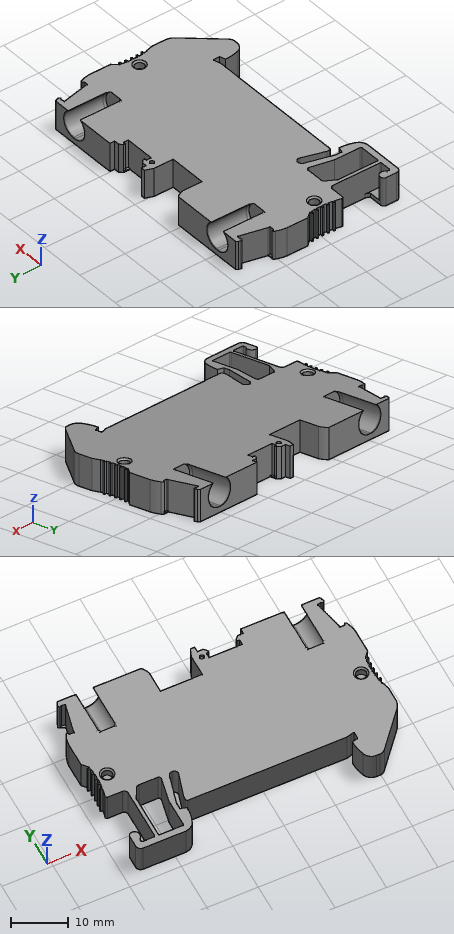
import cadquery as cq
import math

HALF_LENGTH = 27.9
HEIGHT = 35.2
THICKNESS = 6.2
SHELF_Y = 12.65
RAIL_Y = 5.85
LEDGE = 0.2

SHOULDER_Y = 28.3
SHOULDER_X = 25.85
SHOULDER_END_X = 26.95
SHOULDER_STEP = 0.4
GRIP_TOP = (26.9, 20.0)
GRIP_MIDDLE = (26.7, 17.2)
GRIP_BOTTOM = (27.25, 13.0)
GRIP_RADIUS = 16.75
TOOTH_X = 27.2
TOOTH_LENGTH = 0.65
TOOTH_WIDTH = 0.35
TOOTH_PITCH = 1.2
TOOTH_COUNT = 5

GAP_LEFT, GAP_RIGHT, GAP_FLOOR = -8.35, -0.2, 29.3
GAP_BEND_Y = 33.6
GAP_LEFT_FLARE = 0.85
GAP_RIGHT_FLARE = 0.6
MARKER_X = 5.7
MARKER_HALF_WIDTH = 2.75
MARKER_FLOOR = 32.1
MARKER_BEND_Y = 33.55
MARKER_STEP_Y = 34.15
MARKER_STEP_HALF_WIDTH = 3.35
MARKER_TOP_HALF_WIDTH = 4.45
UNDERCUT_DEPTH = 0.5
UNDERCUT_HEIGHT = 1.05

CHANNEL_X = 20.25
CHANNEL_END_Y = 26.0
CHANNEL_RADIUS = 2.7
CHANNEL_FLAT = 0.5
CHANNEL_OPENING = 3.3
CHANNEL_FLARE = 0.15
CHANNEL_TIP = 0.55
CHANNEL_TAPER = 15.0

PIN_X, PIN_Y = 24.7, 17.25
PIN_MOUTH_RADIUS, PIN_MOUTH_DEPTH = 1.35, 0.35
PIN_RADIUS, PIN_DEPTH = 1.0, 1.7
DOT_X, DOT_Y, DOT_RADIUS, DOT_DEPTH = 1.4, 32.75, 0.45, 0.55

FOOT_LEFT = -27.25
STEM_LEFT, STEM_RIGHT = -23.25, -22.55
FOOT_FLOOR = 1.35
WEB_THICKNESS = 0.9
WEB_LEFT, WEB_RIGHT, WEB_BOTTOM = -26.45, -22.9, 0.55
TAB_TOP = 3.95
WINDOW_FILLET = 0.2
SLOT_TOP = (-14.4, SHELF_Y)
LEG_INNER_X = -17.7
LEG_OUTER_X = -16.7


def plate(outline, height=THICKNESS):
    """Extrude a closed outline upward from the back face."""
    return outline.close().extrude(height)


def both_ends(solid):
    """Join a solid with its mirror image about the middle plane."""
    return solid.union(solid.mirror("YZ"))


def start(x, y):
    """Begin an outline on the back face."""
    return cq.Workplane("XY").moveTo(x, y)


def upper_housing():
    """Symmetric housing with end hooks, shoulders and ribbed grips."""
    half = plate(
        start(0, SHELF_Y)
        .lineTo(0, HEIGHT)
        .lineTo(25.45, HEIGHT)
        .threePointArc((25.6, 35.1), (25.7, 34.8))
        .lineTo(25.9, 34.45)
        .threePointArc((25.85, 34.15), (25.6, 34.0))
        .lineTo(25.3, 34.15)
        .lineTo(24.5, 34.05)
        .lineTo(24.65, 33.5)
        .lineTo(SHOULDER_X, SHOULDER_Y)
        .lineTo(SHOULDER_X, SHOULDER_Y - SHOULDER_STEP)
        .lineTo(26.8, SHOULDER_Y - SHOULDER_STEP)
        .lineTo(SHOULDER_END_X, SHOULDER_Y)
        .threePointArc((27.3, 28.2), (27.4, 27.9))
        .threePointArc((27.75, 26.9), (HALF_LENGTH, 25.8))
        .lineTo(HALF_LENGTH, 21.15)
        .lineTo(*GRIP_TOP)
        .threePointArc(GRIP_MIDDLE, GRIP_BOTTOM)
        .threePointArc((27.1, 12.8), (26.9, SHELF_Y))
    )
    hook_ledge = plate(start(25.6, 34.0).lineTo(25.3, 34.15).lineTo(24.5, 34.05).lineTo(24.65, 33.5), LEDGE)
    shoulder_ledge = plate(
        start(SHOULDER_X, SHOULDER_Y)
        .lineTo(SHOULDER_END_X, SHOULDER_Y)
        .lineTo(26.8, SHOULDER_Y - SHOULDER_STEP)
        .lineTo(SHOULDER_X, SHOULDER_Y - SHOULDER_STEP),
        LEDGE,
    )
    half = half.union(hook_ledge).union(shoulder_ledge)
    for index in range(TOOTH_COUNT):
        offset = (index - (TOOTH_COUNT - 1) / 2) * TOOTH_PITCH
        sag = offset ** 2 / (2 * GRIP_RADIUS)
        tooth = cq.Workplane("XY").box(TOOTH_LENGTH, TOOTH_WIDTH, THICKNESS, centered=(True, True, False))
        half = half.union(tooth.translate((TOOTH_X - TOOTH_LENGTH / 2 + sag, GRIP_MIDDLE[1] + offset, 0)))
    return both_ends(half)


def plug_gap():
    """Deep opening in the top edge, flared at the mouth."""
    return plate(
        start(GAP_LEFT, GAP_FLOOR)
        .lineTo(GAP_RIGHT, GAP_FLOOR)
        .lineTo(GAP_RIGHT, GAP_BEND_Y)
        .lineTo(GAP_RIGHT + GAP_RIGHT_FLARE, HEIGHT)
        .lineTo(GAP_LEFT - GAP_LEFT_FLARE, HEIGHT)
        .threePointArc((-8.75, 34.6), (GAP_LEFT, GAP_BEND_Y))
    )


def marker_gap():
    """Stepped opening in the top edge, undercut beside its floor except for the back skin."""
    half = plate(
        start(0, MARKER_FLOOR)
        .lineTo(MARKER_HALF_WIDTH, MARKER_FLOOR)
        .lineTo(MARKER_HALF_WIDTH, MARKER_BEND_Y)
        .lineTo(MARKER_STEP_HALF_WIDTH, MARKER_STEP_Y)
        .lineTo(MARKER_TOP_HALF_WIDTH, MARKER_STEP_Y)
        .lineTo(MARKER_TOP_HALF_WIDTH, HEIGHT)
        .lineTo(0, HEIGHT)
    )
    undercut = cq.Workplane("XY").box(
        UNDERCUT_DEPTH, UNDERCUT_HEIGHT, THICKNESS - LEDGE, centered=False
    ).translate((MARKER_HALF_WIDTH, MARKER_FLOOR, LEDGE))
    return both_ends(half.union(undercut)).translate((MARKER_X, 0, 0))


def wire_channel():
    """Undercut round channel with a narrow flat floor, a flared mouth and a tapered closed tip."""
    half_flat = CHANNEL_FLAT / 2
    half_chord = CHANNEL_OPENING / 2 - half_flat
    axis_z = THICKNESS - math.sqrt(CHANNEL_RADIUS ** 2 - half_chord ** 2)
    flare_growth = CHANNEL_FLARE * math.tan(math.radians(CHANNEL_TAPER))
    tip_y = CHANNEL_END_Y + CHANNEL_TIP

    def section(y, radius):
        return (
            cq.Workplane("XZ", origin=(CHANNEL_X, y, axis_z))
            .slot2D(CHANNEL_FLAT + 2 * radius, 2 * radius)
        )

    bore = section(HEIGHT, CHANNEL_RADIUS).extrude(HEIGHT - tip_y)
    flare = section(HEIGHT, CHANNEL_RADIUS + flare_growth).extrude(CHANNEL_FLARE, taper=CHANNEL_TAPER)
    tip = section(tip_y, CHANNEL_RADIUS).extrude(CHANNEL_TIP, taper=CHANNEL_TAPER)
    return bore.union(flare).union(tip)


def pin_hole():
    """Blind hole with a conical mouth."""
    mouth = (
        cq.Workplane("XY", origin=(PIN_X, PIN_Y, THICKNESS))
        .circle(PIN_MOUTH_RADIUS)
        .workplane(offset=-PIN_MOUTH_DEPTH)
        .circle(PIN_RADIUS)
        .loft()
    )
    bore = (
        cq.Workplane("XY", origin=(PIN_X, PIN_Y, THICKNESS - PIN_DEPTH))
        .circle(PIN_RADIUS)
        .extrude(PIN_DEPTH)
    )
    return mouth.union(bore)


def fixed_foot():
    """Lower body resting on the rail, with the rigid hook on the right."""
    return plate(
        start(*SLOT_TOP)
        .threePointArc((-13.65, 12.4), (-13.5, 11.85))
        .lineTo(-14.95, 6.8)
        .lineTo(-14.95, 6.2)
        .threePointArc((-14.85, 5.95), (-14.6, RAIL_Y))
        .lineTo(16.35, RAIL_Y)
        .lineTo(17.25, 6.15)
        .lineTo(17.9, 6.25)
        .lineTo(17.9, 4.85)
        .lineTo(16.7, 4.45)
        .threePointArc((16.85, 2.8), (17.25, 1.35))
        .threePointArc((17.95, 0.4), (19.2, 0))
        .lineTo(19.85, 0)
        .threePointArc((20.5, 0.15), (20.9, 0.5))
        .lineTo(26.95, 7.65)
        .threePointArc((27.4, 8.4), (27.55, 9.3))
        .lineTo(27.55, 12.2)
        .lineTo(27.1, 13.8)
        .lineTo(25.95, SHELF_Y)
    )


def sprung_foot():
    """Flexible stem and leg around a window, ending in a curled pull tab."""
    foot = plate(
        start(-24.0, SHELF_Y)
        .threePointArc((-23.5, 12.45), (STEM_LEFT, 11.95))
        .lineTo(STEM_LEFT, 1.55)
        .threePointArc((-23.3, 1.4), (-23.5, FOOT_FLOOR))
        .lineTo(-25.65, FOOT_FLOOR)
        .threePointArc((-25.85, 1.4), (-25.9, 1.55))
        .lineTo(-25.9, 2.05)
        .threePointArc((-25.45, 3.1), (-26.2, TAB_TOP))
        .lineTo(-26.55, TAB_TOP)
        .threePointArc((-27.0, 3.8), (FOOT_LEFT, 3.35))
        .lineTo(FOOT_LEFT, 0.95)
        .threePointArc((-26.95, 0.3), (-26.3, 0))
        .lineTo(-17.95, 0)
        .threePointArc((-16.8, 0.4), (-16.05, 1.2))
        .threePointArc((-15.6, 2.8), (-15.45, 4.45))
        .lineTo(LEG_OUTER_X, 4.85)
        .lineTo(LEG_OUTER_X, 6.2)
        .lineTo(-15.2, 12.0)
        .threePointArc((-14.95, 12.45), SLOT_TOP)
    )
    window = plate(
        start(STEM_RIGHT, FOOT_FLOOR)
        .lineTo(LEG_INNER_X, FOOT_FLOOR)
        .lineTo(LEG_INNER_X, 7.2)
        .lineTo(-16.7, 12.15)
        .threePointArc((-16.8, 12.5), (-17.2, SHELF_Y))
        .lineTo(-20.8, SHELF_Y)
        .threePointArc((-21.2, 12.55), (-21.5, 12.2))
        .lineTo(STEM_RIGHT, 10.25)
    ).edges("|Z").edges("<Y").fillet(WINDOW_FILLET)
    web = plate(
        start(WEB_LEFT, WEB_BOTTOM)
        .lineTo(WEB_RIGHT, WEB_BOTTOM)
        .lineTo(WEB_RIGHT, 4.9)
        .lineTo(STEM_LEFT, 4.9)
        .threePointArc((-23.4, 4.35), (-23.65, TAB_TOP))
        .lineTo(WEB_LEFT, TAB_TOP),
        WEB_THICKNESS,
    )
    return foot.cut(window).union(web)


dot_hole = (
    cq.Workplane("XY", origin=(DOT_X, DOT_Y, THICKNESS - DOT_DEPTH))
    .circle(DOT_RADIUS)
    .extrude(DOT_DEPTH)
)

result = (
    upper_housing()
    .union(fixed_foot())
    .union(sprung_foot())
    .cut(plug_gap())
    .cut(marker_gap())
    .cut(both_ends(wire_channel()))
    .cut(both_ends(pin_hole()))
    .cut(dot_hole)
)